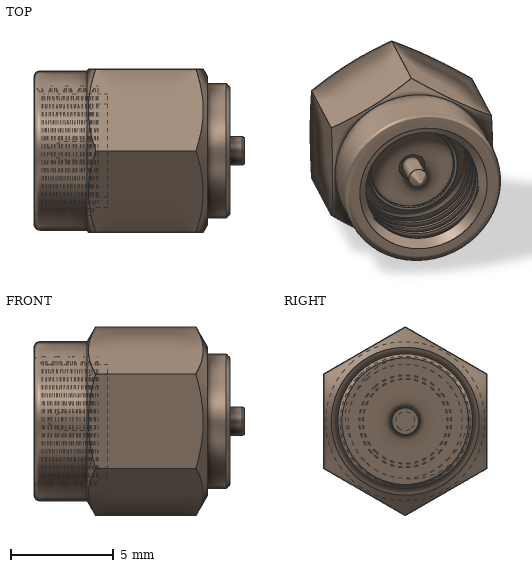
import math

import cadquery as cq


HEX_FLATS = 8.0
HEX_SIDES = 6
HEX_CORNER_RADIUS = HEX_FLATS / 2 / math.cos(math.pi / HEX_SIDES)
HEX_FRONT_X = 2.6
HEX_BACK_X = 8.5
HEX_CHAMFER_ANGLE = 30.0
HEX_BACK_RADIUS = 3.62

SLEEVE_RADIUS = 3.9
SLEEVE_FILLET = 0.3

COLLAR_RADIUS = 3.3
COLLAR_BACK_X = 9.6
COLLAR_CHAMFER = 0.2
REAR_PIN_RADIUS = 0.71
REAR_PIN_BACK_X = 10.3
REAR_PIN_CHAMFER_LENGTH = 0.13
REAR_PIN_CHAMFER_DEPTH = 0.06

MOUTH_RADIUS = 3.18
BORE_RADIUS = 2.79
LEAD_IN_END_X = MOUTH_RADIUS - BORE_RADIUS
BORE_FLOOR_X = 3.6
THREAD_PITCH = 0.7056
THREAD_CREST = 0.22
THREAD_HALF_ANGLE = 20.0
THREAD_ROOT_RADIUS = 3.18
THREAD_START_X = 0.7
THREAD_END_X = 3.12
THREAD_LEAD_TURNS = 2
THREAD_TURNS = 6
THREAD_OVERLAP = 0.05

RING_OUTER_RADIUS = 2.28
RING_INNER_RADIUS = 2.05
RING_FRONT_X = 2.72
RING_CHAMFER = 0.05
INSULATOR_RECESS = 0.1
INSULATOR_FACE_X = RING_FRONT_X + INSULATOR_RECESS

PIN_RADIUS = 0.46
PIN_TIP_X = 0.5
PIN_CONE_LENGTH = 0.85
PIN_CLEARANCE_RADIUS = 0.65
PIN_CLEARANCE_DEPTH = 0.2


def cylinder(radius, start_x, end_x):
    """Solid cylinder about the X axis."""
    return cq.Workplane("YZ").workplane(offset=start_x).circle(radius).extrude(end_x - start_x)


def turned(points):
    """Revolve a closed outline of (x, radius) points about the X axis."""
    return cq.Workplane("XY").polyline(points).close().revolve(360, (0, 0, 0), (1, 0, 0))


def hexagon():
    """Hexagonal prism with two flats facing +/-Y and conical chamfers at both ends."""
    prism = (
        cq.Workplane("YZ")
        .workplane(offset=HEX_FRONT_X)
        .polygon(HEX_SIDES, 2 * HEX_CORNER_RADIUS)
        .extrude(HEX_BACK_X - HEX_FRONT_X)
        .rotate((0, 0, 0), (1, 0, 0), 180 / HEX_SIDES)
    )
    slope = math.tan(math.radians(HEX_CHAMFER_ANGLE))
    limit_radius = 1.2 * HEX_CORNER_RADIUS
    front_run = (limit_radius - SLEEVE_RADIUS) * slope
    back_run = (limit_radius - HEX_BACK_RADIUS) * slope
    envelope = turned([
        (HEX_FRONT_X, 0),
        (HEX_FRONT_X, SLEEVE_RADIUS),
        (HEX_FRONT_X + front_run, limit_radius),
        (HEX_BACK_X - back_run, limit_radius),
        (HEX_BACK_X, HEX_BACK_RADIUS),
        (HEX_BACK_X, 0),
    ])
    return prism.intersect(envelope)


def sleeve():
    """Round front sleeve with a rounded mouth edge."""
    return cylinder(SLEEVE_RADIUS, 0, HEX_FRONT_X).faces("<X").edges().fillet(SLEEVE_FILLET)


def rear_collar():
    """Round collar behind the hexagon, chamfered at its end."""
    return cylinder(COLLAR_RADIUS, HEX_BACK_X, COLLAR_BACK_X).faces(">X").chamfer(COLLAR_CHAMFER)


def rear_pin():
    """Stub of the contact at the rear, with a small end chamfer."""
    return turned([
        (COLLAR_BACK_X, 0),
        (COLLAR_BACK_X, REAR_PIN_RADIUS),
        (REAR_PIN_BACK_X - REAR_PIN_CHAMFER_LENGTH, REAR_PIN_RADIUS),
        (REAR_PIN_BACK_X, REAR_PIN_RADIUS - REAR_PIN_CHAMFER_DEPTH),
        (REAR_PIN_BACK_X, 0),
    ])


def mouth():
    """Cavity of the nut: a lead-in cone followed by the bore."""
    return turned([
        (0, 0),
        (0, MOUTH_RADIUS),
        (LEAD_IN_END_X, BORE_RADIUS),
        (BORE_FLOOR_X, BORE_RADIUS),
        (BORE_FLOOR_X, 0),
    ])


def thread_groove():
    """Right-hand helical groove with sloping flanks, starting at the end of the lead-in cone."""
    flank_slope = math.tan(math.radians(THREAD_HALF_ANGLE))
    half_width = (THREAD_PITCH - THREAD_CREST) / 2
    root_half_width = half_width - (THREAD_ROOT_RADIUS - BORE_RADIUS) * flank_slope
    inner_radius = BORE_RADIUS - THREAD_OVERLAP
    inner_half_width = half_width + THREAD_OVERLAP * flank_slope
    start_x = THREAD_START_X + half_width - THREAD_LEAD_TURNS * THREAD_PITCH
    helix = cq.Wire.makeHelix(
        THREAD_PITCH, THREAD_TURNS * THREAD_PITCH, BORE_RADIUS, center=cq.Vector(0, 0, start_x)
    )
    groove = (
        cq.Workplane("XZ")
        .polyline([
            (inner_radius, start_x - inner_half_width),
            (THREAD_ROOT_RADIUS, start_x - root_half_width),
            (THREAD_ROOT_RADIUS, start_x + root_half_width),
            (inner_radius, start_x + inner_half_width),
        ])
        .close()
        .sweep(cq.Workplane(helix), isFrenet=True)
        .rotate((0, 0, 0), (1, 1, 1), 120)
    )
    threaded_length = cylinder(SLEEVE_RADIUS, LEAD_IN_END_X, THREAD_END_X)
    return groove.intersect(threaded_length)


def mating_ring():
    """Raised ring with chamfered rims, closed by the insulator face set inside it."""
    return turned([
        (BORE_FLOOR_X, 0),
        (BORE_FLOOR_X, RING_OUTER_RADIUS),
        (RING_FRONT_X + RING_CHAMFER, RING_OUTER_RADIUS),
        (RING_FRONT_X, RING_OUTER_RADIUS - RING_CHAMFER),
        (RING_FRONT_X, RING_INNER_RADIUS + RING_CHAMFER),
        (RING_FRONT_X + RING_CHAMFER, RING_INNER_RADIUS),
        (INSULATOR_FACE_X, RING_INNER_RADIUS),
        (INSULATOR_FACE_X, 0),
    ])


def pin_clearance():
    """Shallow recess around the root of the front contact."""
    return cylinder(PIN_CLEARANCE_RADIUS, INSULATOR_FACE_X, INSULATOR_FACE_X + PIN_CLEARANCE_DEPTH)


def front_pin():
    """Front contact with a pointed conical tip."""
    root_x = INSULATOR_FACE_X + PIN_CLEARANCE_DEPTH
    return turned([
        (PIN_TIP_X, 0),
        (PIN_TIP_X + PIN_CONE_LENGTH, PIN_RADIUS),
        (root_x, PIN_RADIUS),
        (root_x, 0),
    ])


body = sleeve().union(hexagon()).union(rear_collar()).union(rear_pin())
body = body.cut(mouth()).cut(thread_groove()).union(mating_ring())
result = body.cut(pin_clearance()).union(front_pin())